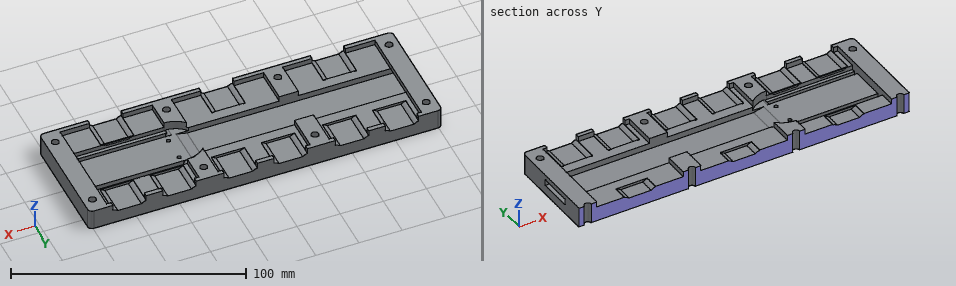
import cadquery as cq
import math

bay_count = 3
bay_length = 42.7
bay_wall = 8.825
bay_pitch = bay_length + bay_wall
length = bay_count * bay_pitch + bay_wall
width = 53.56
height = 10.0
corner_radius = 2.0

side_wall = 2.0
bay_width = width - 2 * side_wall
bay_floor = 7.5
bay_centers = [(i - (bay_count - 1) / 2) * bay_pitch for i in range(bay_count)]
cavity_end = bay_centers[-1] + bay_length / 2

channel_width = 16.3
channel_floor = 4.6
ramp_start = bay_centers[1] + bay_length / 2
ramp_length = 5.0

platform_floor = 5.8
pocket_start = bay_centers[2] - bay_length / 2
pocket_radius = 12.45
slot_inner = 8.5
slot_outer = 10.8
ledge_end_gap = 1.0
ledge_floor = 5.4
lip_radius = 1.8

notch_width = 15.4
notch_floor_width = 10.9
notch_floor = 6.25
notch_flank_top = 7.25
notch_flank_angle = 26.0
notch_spacing = 23.15
notch_inner_end = 12.95

screw_diameter = 3.3
screw_row_y = 19.8
pin_diameter = 1.7
pin_x = 31.0
pin_y = 5.7


def block(x_range, y_range, z_range):
    """Axis-aligned box spanning the given (low, high) ranges."""
    x0, x1 = x_range
    y0, y1 = y_range
    z0, z1 = z_range
    return cq.Workplane("XY").box(x1 - x0, y1 - y0, z1 - z0, centered=False).translate((x0, y0, z0))


def body():
    """Solid plate with rounded upright corners, resting on Z = 0."""
    plate = cq.Workplane("XY").box(length, width, height, centered=(True, True, False))
    return plate.edges("|Z").fillet(corner_radius)


def bay(center_x):
    """Rectangular recess of one bay."""
    return block(
        (center_x - bay_length / 2, center_x + bay_length / 2),
        (-bay_width / 2, bay_width / 2),
        (bay_floor, height),
    )


def notch(center_x, side):
    """Notch through a long side wall (side = +1 or -1) reaching into the bay."""
    half_top = notch_width / 2
    half_floor = notch_floor_width / 2
    run = math.cos(math.radians(notch_flank_angle))
    drop = math.sin(math.radians(notch_flank_angle))
    profile = (
        cq.Workplane("XZ")
        .moveTo(-half_top, height)
        .lineTo(-half_top, notch_flank_top)
        .spline([(-half_floor, notch_floor)], tangents=[(1, 0), (run, -drop)], includeCurrent=True)
        .lineTo(half_floor, notch_floor)
        .spline([(half_top, notch_flank_top)], tangents=[(run, drop), (1, 0)], includeCurrent=True)
        .lineTo(half_top, height)
        .close()
        .extrude(width / 2 - notch_inner_end)
    )
    start_y = width / 2 if side > 0 else -notch_inner_end
    return profile.translate((center_x, start_y, 0))


def channel():
    """Central channel with its end ramp and the window through the -X wall."""
    ramp_end = ramp_start + ramp_length
    trough = (
        cq.Workplane("XZ")
        .polyline([
            (-cavity_end, height),
            (-cavity_end, channel_floor),
            (ramp_start, channel_floor),
            (ramp_end, platform_floor),
            (ramp_end, height),
        ])
        .close()
        .extrude(channel_width / 2, both=True)
    )
    window = block(
        (-length / 2, -cavity_end),
        (-channel_width / 2, channel_width / 2),
        (channel_floor, bay_floor),
    )
    return trough.union(window)


def pocket_column(z0, z1):
    """Outline of the round-nosed pocket, filled between two heights."""
    nose_x = pocket_start - pocket_radius
    return (
        cq.Workplane("XY", origin=(0, 0, z0))
        .moveTo(cavity_end, -pocket_radius)
        .lineTo(pocket_start, -pocket_radius)
        .threePointArc((nose_x, 0), (pocket_start, pocket_radius))
        .lineTo(cavity_end, pocket_radius)
        .close()
        .extrude(z1 - z0)
    )


def side_slot():
    """Through slot on the +Y side: rounded lip at its -X end, ledge along its outer side."""
    lip_start = pocket_start - lip_radius
    lip_bottom = platform_floor - lip_radius
    lip_arc_offset = lip_radius * math.sqrt(0.5)
    trench = (
        cq.Workplane("XZ", origin=(0, pocket_radius, 0))
        .moveTo(lip_start, platform_floor)
        .threePointArc(
            (lip_start + lip_arc_offset, lip_bottom + lip_arc_offset),
            (pocket_start, lip_bottom),
        )
        .lineTo(pocket_start, 0)
        .lineTo(cavity_end, 0)
        .lineTo(cavity_end, platform_floor)
        .close()
        .extrude(pocket_radius - slot_inner)
    )
    ledge = block(
        (pocket_start - ledge_end_gap, cavity_end),
        (slot_outer, pocket_radius),
        (0, ledge_floor),
    )
    return trench.cut(ledge).intersect(pocket_column(0, height))


def through_holes(points, diameter):
    """Vertical holes through the full height."""
    return cq.Workplane("XY").pushPoints(points).circle(diameter / 2).extrude(height)


tray = body()
for bay_x in bay_centers:
    tray = tray.cut(bay(bay_x))
    for offset in (-notch_spacing / 2, notch_spacing / 2):
        tray = tray.cut(notch(bay_x + offset, 1))
    tray = tray.cut(notch(bay_x, -1))

tray = tray.cut(channel()).cut(pocket_column(platform_floor, height))
slot = side_slot()
tray = tray.cut(slot).cut(slot.mirror("XZ"))

screw_columns = [(i - bay_count / 2) * bay_pitch for i in range(bay_count + 1)]
screw_points = [(x, y) for x in screw_columns for y in (-screw_row_y, screw_row_y)]
pin_points = [(pin_x, -pin_y), (pin_x, pin_y)]
tray = tray.cut(through_holes(screw_points, screw_diameter))
result = tray.cut(through_holes(pin_points, pin_diameter))